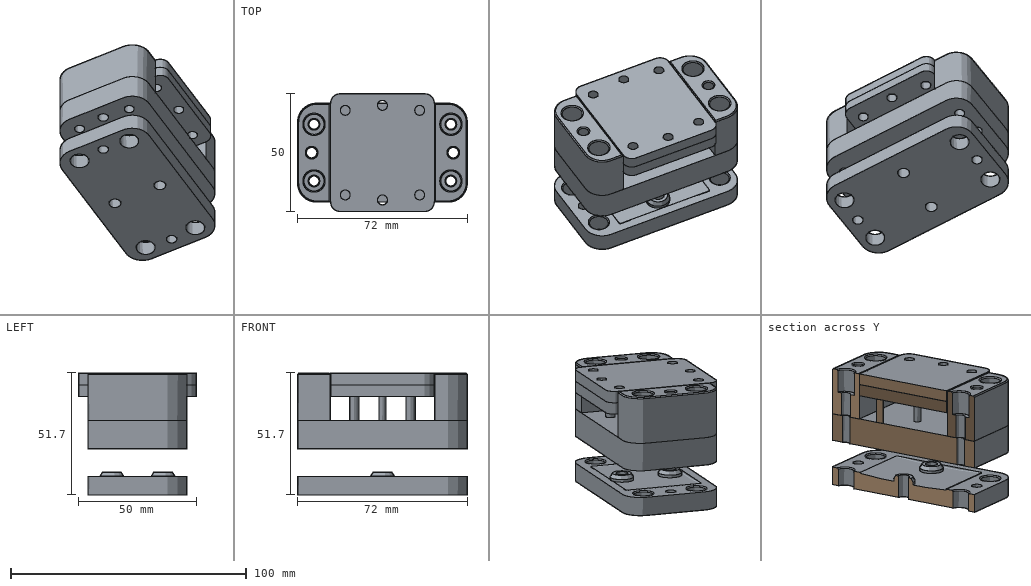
import cadquery as cq
import math

BLOCK_X = 72.0
BLOCK_Y = 42.0
BLOCK_CORNER_RADIUS = 8.1

BOTTOM_PLATE_HEIGHT = 8.0
OPEN_GAP = 11.7
BASE_HEIGHT = 12.0
TOWER_HEIGHT = 20.0
SLIDE_PLATE_HEIGHT = 5.0

BASE_Z = BOTTOM_PLATE_HEIGHT + OPEN_GAP
TOWER_Z = BASE_Z + BASE_HEIGHT
TOP_Z = TOWER_Z + TOWER_HEIGHT
UPPER_PLATE_Z = TOP_Z - SLIDE_PLATE_HEIGHT
LOWER_PLATE_Z = UPPER_PLATE_Z - SLIDE_PLATE_HEIGHT

TOWER_GAP = 44.1
EDGE_CHAMFER = 0.5

SCREW_X = 29.0
SCREW_Y = 12.0
SCREW_HEAD_DIAMETER = 8.5
SCREW_HEAD_DEPTH = TOWER_HEIGHT / 2
SCREW_CLEARANCE_DIAMETER = 5.0
SCREW_CORE_DIAMETER = 4.2
SCREW_POINTS = [(x, y) for x in (-SCREW_X, SCREW_X) for y in (-SCREW_Y, SCREW_Y)]
BOTTOM_HOLE_DIAMETER = 8.0
DOWEL_X = 30.0
DOWEL_DIAMETER = 4.4
DOWEL_POINTS = [(-DOWEL_X, 0), (DOWEL_X, 0)]

RECESS_X = 43.35
RECESS_Y = 34.0
RECESS_DEPTH = 1.0
RECESS_END_DEPTH = 0.395
RECESS_CORNER_RADIUS = 0.5
RECESS_FLOOR_RADIUS = 0.35
RAMP_START_X = 10.9
RAMP_BLEND_REACH = 0.35

BOSS_Y = 10.9
BOSS_DIAMETER = 10.0
BOSS_TOP_DIAMETER = 8.0
BOSS_RISE = 1.7
BOSS_CONE_HEIGHT = 1.6
BOSS_HOLE_DIAMETER = 5.0

SLIDE_X = 44.0
SLIDE_Y = 50.0
SLIDE_CORNER_RADIUS = 4.0
SLIDE_HOLE_DIAMETER = 4.2
SLIDE_CORNER_HOLE_X = 15.8
SLIDE_CORNER_HOLE_Y = 17.9
SLIDE_MIDDLE_HOLE_Y = 20.0

OUTER_PIN_X = 11.95
OUTER_PIN_Y = 11.7
OUTER_PIN_DIAMETER = 4.0
MIDDLE_PIN_DIAMETER = 3.0


def rounded_block(size_x, size_y, radius, bottom_z, height):
    """Block centred on the Z axis with rounded vertical edges."""
    block = cq.Workplane("XY", origin=(0, 0, bottom_z)).rect(size_x, size_y).extrude(height)
    return block.edges("|Z").fillet(radius)


def cylinders(points, diameter, bottom_z, height):
    """Upright cylinders of one diameter at several points."""
    return cq.Workplane("XY", origin=(0, 0, bottom_z)).pushPoints(points).circle(diameter / 2).extrude(height)


def chamfer_cutters(points, diameter, top_z):
    """Cones that break the top rims of the holes at the points."""
    rim_radius = diameter / 2 + EDGE_CHAMFER
    cone = cq.Solid.makeCone(diameter / 2, rim_radius, EDGE_CHAMFER)
    return cq.Workplane("XY", origin=(0, 0, top_z - EDGE_CHAMFER)).pushPoints(points).eachpoint(
        cone, useLocalCoordinates=True
    )


def make_boss(y):
    """Cylinder with a conical top, standing on the recess floor."""
    floor_z = BOTTOM_PLATE_HEIGHT - RECESS_DEPTH
    height = RECESS_DEPTH + BOSS_RISE
    boss = (
        cq.Workplane("XZ", origin=(0, y, floor_z))
        .lineTo(BOSS_DIAMETER / 2, 0)
        .lineTo(BOSS_DIAMETER / 2, height - BOSS_CONE_HEIGHT)
        .lineTo(BOSS_TOP_DIAMETER / 2, height)
        .lineTo(0, height)
        .close()
        .revolve(360, (0, 0, 0), (0, 1, 0))
    )
    return boss


def make_recess():
    """Recess volume: a level middle floor whose two ends ramp up towards shallow end walls."""
    half_length = RECESS_X / 2
    ramp_angle = math.atan2(RECESS_DEPTH - RECESS_END_DEPTH, half_length - RAMP_START_X)
    blend_start_x = RAMP_START_X - RAMP_BLEND_REACH
    blend_end_x = RAMP_START_X + RAMP_BLEND_REACH * math.cos(ramp_angle)
    blend_end_depth = RECESS_DEPTH - RAMP_BLEND_REACH * math.sin(ramp_angle)
    recess = (
        cq.Workplane("XZ", origin=(0, RECESS_Y / 2, BOTTOM_PLATE_HEIGHT))
        .moveTo(-half_length, 0)
        .lineTo(-half_length, -RECESS_END_DEPTH)
        .lineTo(-blend_end_x, -blend_end_depth)
        .tangentArcPoint((-blend_start_x, -RECESS_DEPTH), relative=False)
        .lineTo(blend_start_x, -RECESS_DEPTH)
        .tangentArcPoint((blend_end_x, -blend_end_depth), relative=False)
        .lineTo(half_length, -RECESS_END_DEPTH)
        .lineTo(half_length, 0)
        .close()
        .extrude(RECESS_Y)
    )
    recess = recess.edges("|Z").fillet(RECESS_CORNER_RADIUS)
    return recess.faces("<Z").edges("<Y").fillet(RECESS_FLOOR_RADIUS)


def make_bottom_plate():
    plate = rounded_block(BLOCK_X, BLOCK_Y, BLOCK_CORNER_RADIUS, 0, BOTTOM_PLATE_HEIGHT)
    plate = plate.cut(make_recess())
    boss_points = [(0, -BOSS_Y), (0, BOSS_Y)]
    for _, y in boss_points:
        plate = plate.union(make_boss(y))
    plate = plate.cut(cylinders(boss_points, BOSS_HOLE_DIAMETER, 0, BOTTOM_PLATE_HEIGHT + BOSS_RISE))
    plate = plate.cut(cylinders(SCREW_POINTS, BOTTOM_HOLE_DIAMETER, 0, BOTTOM_PLATE_HEIGHT))
    plate = plate.cut(chamfer_cutters(SCREW_POINTS, BOTTOM_HOLE_DIAMETER, BOTTOM_PLATE_HEIGHT))
    return plate.cut(cylinders(DOWEL_POINTS, DOWEL_DIAMETER, 0, BOTTOM_PLATE_HEIGHT))


def make_base():
    base = rounded_block(BLOCK_X, BLOCK_Y, BLOCK_CORNER_RADIUS, BASE_Z, BASE_HEIGHT)
    base = base.cut(cylinders(SCREW_POINTS, SCREW_CORE_DIAMETER, BASE_Z, BASE_HEIGHT))
    return base.cut(cylinders(DOWEL_POINTS, DOWEL_DIAMETER, BASE_Z, BASE_HEIGHT))


def make_tower(side):
    """Tower at the -X end (side = -1) or at the +X end (side = 1) of the base."""
    width = (BLOCK_X - TOWER_GAP) / 2
    center_x = side * (TOWER_GAP + width) / 2
    outer_face = "<X" if side < 0 else ">X"
    tower = cq.Workplane("XY", origin=(center_x, 0, TOWER_Z)).rect(width, BLOCK_Y).extrude(TOWER_HEIGHT)
    tower = tower.faces(outer_face).edges("|Z").fillet(BLOCK_CORNER_RADIUS)
    tower = tower.faces(">Z").edges().chamfer(EDGE_CHAMFER)
    tower = tower.cut(cylinders(SCREW_POINTS, SCREW_CLEARANCE_DIAMETER, TOWER_Z, TOWER_HEIGHT))
    tower = tower.cut(cylinders(SCREW_POINTS, SCREW_HEAD_DIAMETER, TOP_Z - SCREW_HEAD_DEPTH, SCREW_HEAD_DEPTH))
    tower = tower.cut(chamfer_cutters(SCREW_POINTS, SCREW_HEAD_DIAMETER, TOP_Z))
    tower = tower.cut(cylinders(DOWEL_POINTS, DOWEL_DIAMETER, TOWER_Z, TOWER_HEIGHT))
    return tower.cut(chamfer_cutters(DOWEL_POINTS, DOWEL_DIAMETER, TOP_Z))


def make_slide_plate(bottom_z):
    plate = rounded_block(SLIDE_X, SLIDE_Y, SLIDE_CORNER_RADIUS, bottom_z, SLIDE_PLATE_HEIGHT)
    hole_points = [(0, -SLIDE_MIDDLE_HOLE_Y), (0, SLIDE_MIDDLE_HOLE_Y)]
    for x in (-SLIDE_CORNER_HOLE_X, SLIDE_CORNER_HOLE_X):
        for y in (-SLIDE_CORNER_HOLE_Y, SLIDE_CORNER_HOLE_Y):
            hole_points.append((x, y))
    return plate.cut(cylinders(hole_points, SLIDE_HOLE_DIAMETER, bottom_z, SLIDE_PLATE_HEIGHT))


def make_pin(point, diameter):
    """Pin spanning from the base to the lower slide plate."""
    return cylinders([point], diameter, TOWER_Z, LOWER_PLATE_Z - TOWER_Z)


bottom_plate = make_bottom_plate()
base = make_base()
towers = [make_tower(side) for side in (-1, 1)]
upper_plate = make_slide_plate(UPPER_PLATE_Z)
lower_plate = make_slide_plate(LOWER_PLATE_Z)
outer_pins = [make_pin((side * OUTER_PIN_X, side * OUTER_PIN_Y), OUTER_PIN_DIAMETER) for side in (-1, 1)]
middle_pin = make_pin((0, 0), MIDDLE_PIN_DIAMETER)

result = cq.Compound.makeCompound(
    [
        bottom_plate.val(),
        base.val(),
        *[tower.val() for tower in towers],
        upper_plate.val(),
        lower_plate.val(),
        *[pin.val() for pin in outer_pins],
        middle_pin.val(),
    ]
)